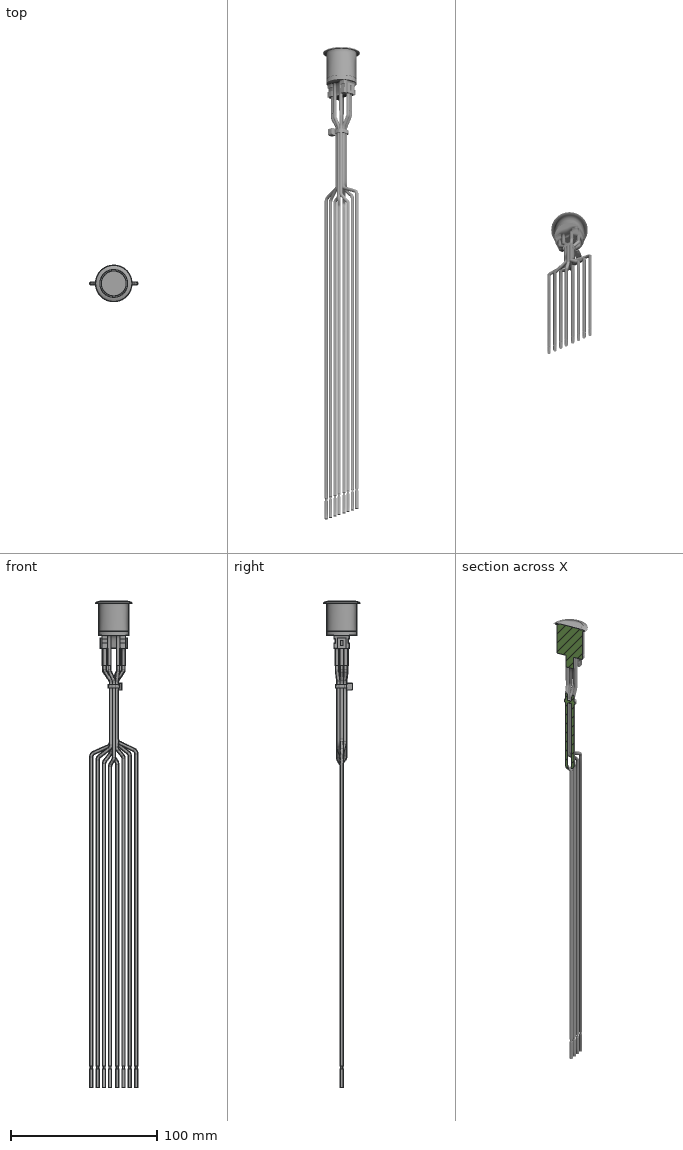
import cadquery as cq
import math

TOTAL_LENGTH = 332.7

FLANGE_DIAMETER = 25.0
FLANGE_THICKNESS = 1.5
FLANGE_EDGE_HEIGHT = 0.4
DOME_RISE = 0.2
BODY_DIAMETER = 20.8
BODY_BOTTOM = -23.3
BODY_RIM_HEIGHT = 2.5
RIM_GROOVE_WIDTH = 0.5
RIM_GROOVE_DEPTH = 0.3
CAP_GROOVE_OUTER_DIAMETER = 19.0
CAP_GROOVE_INNER_DIAMETER = 17.0
CAP_GROOVE_DEPTH = 0.6

BLOCK_LENGTH = 16.4
BLOCK_WIDTH = 10.6
BLOCK_BOTTOM = -32.2
WEB_LENGTH = 8.6
WEB_WIDTH = 6.6
NECK_WIDTH = 9.0
NECK_TOP = -25.8
NECK_HEIGHT = 2.8
PLATE_SPAN = 18.6
PLATE_WIDTH = 6.0
PLATE_TOP = -25.0
WINDOW_WIDTH = 1.6
WINDOW_HEIGHT = 3.6

WIRE_DIAMETER = 2.2
CORE_DIAMETER = 1.5
SLEEVE_DIAMETER = 2.4
SLEEVE_BOTTOM = -44.0
BEND_RADIUS = 3.0
GATHER_TOP = -47.5
GATHER_BOTTOM = -54.5
STRIP_GAP_TOP = -318.0
STRIP_GAP_HEIGHT = 1.8

BUNDLE_PITCH = 2.1
LEFT_COLUMN_X = -1.9
MIDDLE_COLUMN_X = 0.1
RIGHT_COLUMN_X = 2.1
MIDDLE_OFFSET = 2.45

LOOM_WIDTH = 33.0
OUTER_HANG_X = (LOOM_WIDTH - WIRE_DIAMETER) / 2

WIRES = (
    ((-6.7, 0.0), (LEFT_COLUMN_X, 0.0), -OUTER_HANG_X, -98.5, -104.5),
    ((-6.1, -2.6), (LEFT_COLUMN_X, -BUNDLE_PITCH), -11.0, -100.0, -107.0),
    ((-3.0, 3.3), (LEFT_COLUMN_X, BUNDLE_PITCH), -6.6, -104.0, -110.0),
    ((-3.0, -3.3), (MIDDLE_COLUMN_X, -MIDDLE_OFFSET), -2.5, -108.0, -112.0),
    ((3.0, 3.3), (MIDDLE_COLUMN_X, MIDDLE_OFFSET), 2.4, -107.0, -110.5),
    ((3.0, -3.3), (RIGHT_COLUMN_X, -BUNDLE_PITCH), 6.7, -101.0, -106.5),
    ((6.1, 2.6), (RIGHT_COLUMN_X, BUNDLE_PITCH), 11.0, -97.5, -104.5),
    ((6.7, 0.0), (RIGHT_COLUMN_X, 0.0), OUTER_HANG_X, -96.0, -102.5),
)

TIE_TOP = -57.0
TIE_HEIGHT = 2.4
TIE_LENGTH_X = 7.6
TIE_LENGTH_Y = 8.8
TIE_CORNER_RADIUS = 2.5
TIE_HEAD_X = (1.8, 5.6)
TIE_HEAD_Y = (3.4, 7.5)
TIE_HEAD_Z = (-60.8, -56.0)
TIE_HEAD_FILLET = 1.0


def disc(diameter, top, bottom, x=0.0, y=0.0):
    """Vertical cylinder between two heights."""
    return cq.Workplane("XY", origin=(x, y, bottom)).circle(diameter / 2).extrude(top - bottom)


def ring(outer_diameter, inner_diameter, top, bottom):
    """Vertical tube between two heights."""
    return disc(outer_diameter, top, bottom).cut(disc(inner_diameter, top, bottom))


def box(size_x, size_y, top, bottom, x=0.0, y=0.0):
    """Upright box between two heights, centred on (x, y)."""
    return cq.Workplane("XY", origin=(x, y, bottom)).rect(size_x, size_y).extrude(top - bottom)


def make_housing():
    """Round body with a domed flange, a ring groove in the cap and a groove near its lower rim."""
    flange_radius = FLANGE_DIAMETER / 2
    crown_radius = CAP_GROOVE_OUTER_DIAMETER / 2
    edge_top = FLANGE_EDGE_HEIGHT - FLANGE_THICKNESS
    dome_middle = ((flange_radius + crown_radius) / 2, edge_top / 2 + DOME_RISE)
    flange = (
        cq.Workplane("XZ")
        .lineTo(crown_radius, 0)
        .threePointArc(dome_middle, (flange_radius, edge_top))
        .lineTo(flange_radius, -FLANGE_THICKNESS)
        .lineTo(0, -FLANGE_THICKNESS)
        .close()
        .revolve(360, (0, 0, 0), (0, 1, 0))
    )
    cap_groove = ring(CAP_GROOVE_OUTER_DIAMETER, CAP_GROOVE_INNER_DIAMETER, 0, -CAP_GROOVE_DEPTH)
    rim_groove_bottom = BODY_BOTTOM + BODY_RIM_HEIGHT
    rim_groove = ring(
        BODY_DIAMETER,
        BODY_DIAMETER - 2 * RIM_GROOVE_DEPTH,
        rim_groove_bottom + RIM_GROOVE_WIDTH,
        rim_groove_bottom,
    )
    body = disc(BODY_DIAMETER, -FLANGE_THICKNESS, BODY_BOTTOM)
    return body.union(flange).cut(cap_groove).cut(rim_groove)


def make_terminal_block():
    """Two necked blocks joined by a thinner web, with a windowed plate at each end."""
    neck_bottom = NECK_TOP - NECK_HEIGHT
    block = (
        box(BLOCK_LENGTH, BLOCK_WIDTH, BODY_BOTTOM, NECK_TOP)
        .union(box(BLOCK_LENGTH, NECK_WIDTH, NECK_TOP, neck_bottom))
        .union(box(BLOCK_LENGTH, BLOCK_WIDTH, neck_bottom, BLOCK_BOTTOM))
    )
    web = box(WEB_LENGTH, WEB_WIDTH, BODY_BOTTOM, BLOCK_BOTTOM)
    web_clearance = box(WEB_LENGTH, BLOCK_WIDTH, BODY_BOTTOM, BLOCK_BOTTOM)
    block = block.cut(web_clearance).union(web)

    plate_thickness = (PLATE_SPAN - BLOCK_LENGTH) / 2
    window_middle = (PLATE_TOP + BLOCK_BOTTOM) / 2
    window_top = window_middle + WINDOW_HEIGHT / 2
    window_bottom = window_middle - WINDOW_HEIGHT / 2
    for side in (-1, 1):
        plate_x = side * (PLATE_SPAN - plate_thickness) / 2
        plate = box(plate_thickness, PLATE_WIDTH, PLATE_TOP, BLOCK_BOTTOM, plate_x)
        window = box(plate_thickness, WINDOW_WIDTH, window_top, window_bottom, plate_x)
        block = block.union(plate.cut(window))
    return block


def rounded_path(points, radius):
    """Path through the points with every inner corner replaced by a tangent arc."""
    corners = [cq.Vector(*point) for point in points]
    edges = []
    start = corners[0]
    for before, corner, after in zip(corners, corners[1:], corners[2:]):
        to_before = (before - corner).normalized()
        to_after = (after - corner).normalized()
        half_angle = to_before.getAngle(to_after) / 2
        tangent_length = radius / math.tan(half_angle)
        arc_start = corner + to_before * tangent_length
        arc_end = corner + to_after * tangent_length
        to_arc_middle = radius / math.sin(half_angle) - radius
        arc_middle = corner + (to_before + to_after).normalized() * to_arc_middle
        edges.append(cq.Edge.makeLine(start, arc_start))
        edges.append(cq.Edge.makeThreePointArc(arc_start, arc_middle, arc_end))
        start = arc_end
    edges.append(cq.Edge.makeLine(start, corners[-1]))
    return cq.Wire.assembleEdges(edges)


def make_wire(terminal, bundle, hang_x, leave_z, bend_z):
    """One wire from its sleeve at the terminal, through the bundle, to its partly stripped end."""
    path = rounded_path(
        (
            (*terminal, BODY_BOTTOM),
            (*terminal, GATHER_TOP),
            (*bundle, GATHER_BOTTOM),
            (*bundle, leave_z),
            (hang_x, 0, bend_z),
            (hang_x, 0, STRIP_GAP_TOP),
        ),
        BEND_RADIUS,
    )
    start_plane = cq.Workplane("XY", origin=(*terminal, BODY_BOTTOM))
    wire = start_plane.circle(WIRE_DIAMETER / 2).sweep(cq.Workplane(obj=path))
    sleeve = disc(SLEEVE_DIAMETER, BODY_BOTTOM, SLEEVE_BOTTOM, *terminal)
    slug_top = STRIP_GAP_TOP - STRIP_GAP_HEIGHT
    core = disc(CORE_DIAMETER, STRIP_GAP_TOP, slug_top, hang_x)
    slug = disc(WIRE_DIAMETER, slug_top, -TOTAL_LENGTH, hang_x)
    return wire.union(sleeve).union(core).union(slug)


def make_cable_tie():
    """Rounded strap around the bundle with its locking head on the +Y side."""
    strap = box(TIE_LENGTH_X, TIE_LENGTH_Y, TIE_TOP, TIE_TOP - TIE_HEIGHT)
    strap = strap.edges("|Z").fillet(TIE_CORNER_RADIUS)
    head_size_x = TIE_HEAD_X[1] - TIE_HEAD_X[0]
    head_size_y = TIE_HEAD_Y[1] - TIE_HEAD_Y[0]
    head = box(
        head_size_x,
        head_size_y,
        TIE_HEAD_Z[1],
        TIE_HEAD_Z[0],
        sum(TIE_HEAD_X) / 2,
        sum(TIE_HEAD_Y) / 2,
    )
    head = head.edges("|X and >Y").fillet(TIE_HEAD_FILLET)
    return strap.union(head)


result = make_housing().union(make_terminal_block())
for wire_layout in WIRES:
    result = result.union(make_wire(*wire_layout))
result = result.union(make_cable_tie())